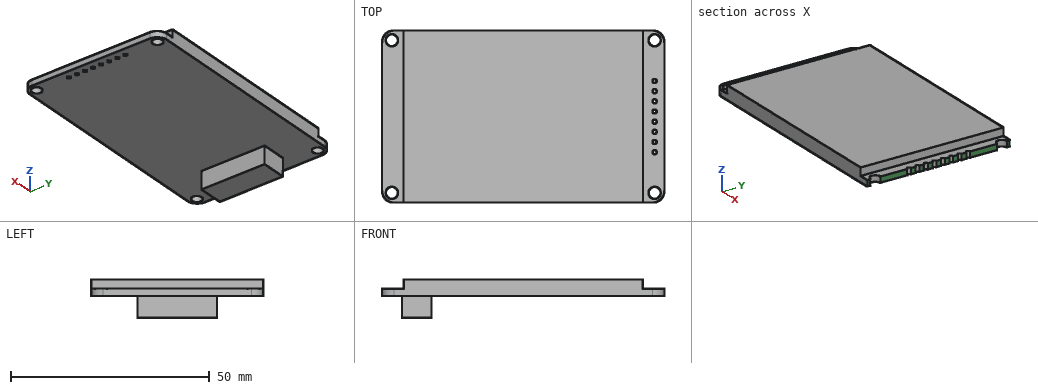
import cadquery as cq

board_length = 71.0
board_width = 43.3
board_thickness = 1.85
corner_radius = 3.0

panel_length = 60.15
panel_height = 2.35

connector_length = 7.5
connector_width = 20.0
connector_height = 5.5
connector_end_gap = 5.0

mount_diameter = 3.0
mount_inset = 2.5

pin_count = 8
pin_pitch = 2.55
pin_diameter = 1.0
pin_inset = mount_inset


def make_board():
    board = cq.Workplane("XY").box(board_length, board_width, board_thickness, centered=(True, True, False))
    return board.edges("|Z").fillet(corner_radius)


def make_panel():
    panel = cq.Workplane("XY").box(panel_length, board_width, panel_height, centered=(True, True, False))
    return panel.translate((0, 0, board_thickness))


def make_connector():
    connector = cq.Workplane("XY").box(
        connector_length, connector_width, connector_height, centered=(False, True, False)
    )
    return connector.translate((connector_end_gap - board_length / 2, 0, -connector_height))


def make_mount_holes():
    spacing_x = board_length - 2 * mount_inset
    spacing_y = board_width - 2 * mount_inset
    return (
        cq.Workplane("XY")
        .rarray(spacing_x, spacing_y, 2, 2)
        .circle(mount_diameter / 2)
        .extrude(board_thickness)
    )


def make_pin_holes():
    row_x = board_length / 2 - pin_inset
    return (
        cq.Workplane("XY")
        .center(row_x, 0)
        .rarray(0.7, pin_pitch, 1, pin_count)
        .circle(pin_diameter / 2)
        .extrude(board_thickness)
    )


drilled_board = make_board().cut(make_mount_holes()).cut(make_pin_holes())
result = drilled_board.union(make_panel()).union(make_connector())